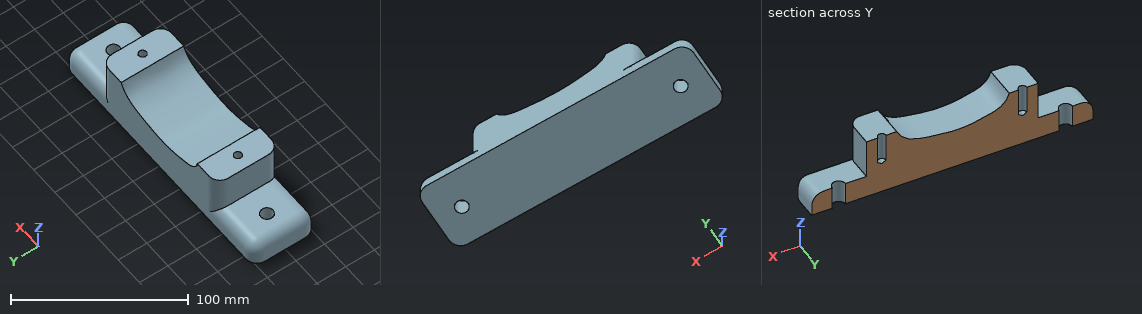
import cadquery as cq
import math

length = 180.0
width = 44.0
height = 40.0
base_height = 15.0
pedestal_length = 110.0
edge_radius = 8.0

mount_diameter = 8.3
mount_spacing = 145.0
screw_diameter = 5.0
screw_spacing = 90.0
screw_depth = 18.0
drill_tip_angle = 118

saddle_points = [
    (-36.4, 0),
    (-31.1, 7.5),
    (-21.6, 11.0),
    (-13.1, 12.8),
    (0, 13.5),
    (15.3, 11.7),
    (28.0, 8.1),
    (35.6, 0),
]


def rounded_block(block_length, block_height):
    """Upright block standing on Z = 0 with rounded vertical edges."""
    block = cq.Workplane("XY").box(block_length, width, block_height, centered=(True, True, False))
    return block.edges("|Z").fillet(edge_radius)


def saddle_cutter():
    """Smooth trough running through the full width."""
    curve = [(x, height - drop) for x, drop in saddle_points]
    return (
        cq.Workplane("XZ", origin=(0, width / 2, 0))
        .moveTo(*curve[0])
        .spline(curve[1:], includeCurrent=True)
        .close()
        .extrude(width)
    )


def drill_tip():
    """Conical end of a blind screw hole, pointing down from its rim at Z = 0."""
    radius = screw_diameter / 2
    tip_depth = radius / math.tan(math.radians(drill_tip_angle / 2))
    return cq.Solid.makeCone(radius, 0, tip_depth, dir=cq.Vector(0, 0, -1))


base = rounded_block(length, base_height).faces(">Z").edges().fillet(edge_radius)
result = base.union(rounded_block(pedestal_length, height)).cut(saddle_cutter())

for side in (-1, 1):
    mount_hole = (
        cq.Workplane("XY").center(side * mount_spacing / 2, 0).circle(mount_diameter / 2).extrude(base_height)
    )
    screw_hole = (
        cq.Workplane("XY", origin=(side * screw_spacing / 2, 0, height))
        .circle(screw_diameter / 2)
        .extrude(-screw_depth)
    )
    tip = drill_tip().translate(cq.Vector(side * screw_spacing / 2, 0, height - screw_depth))
    result = result.cut(mount_hole).cut(screw_hole).cut(cq.Workplane(tip))